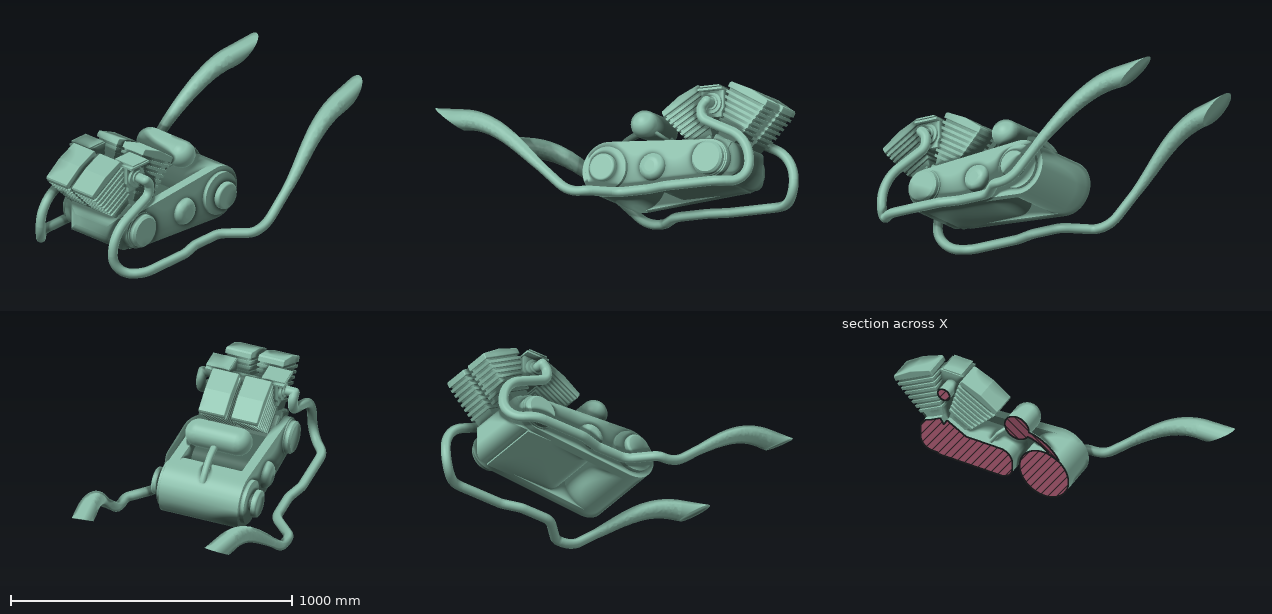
import cadquery as cq
import math


DRUM_RADIUS = 100
CASE_HALF_WIDTH = 150
PLATE_THICKNESS = 35.0
PLATE_END_RADIUS = 70.0
CRANK_Y = -406.0
FLANGE_DIAMETER = 160.0
FLANGE_THICKNESS = 15.0
HUB_NECK_DIAMETER = 60.0
HUB_NECK_LENGTH = 15.0
KNOB_DIAMETER = 100
KNOB_THICKNESS = 20.0
KNOB_FILLET = 9.0
DOME_DIAMETER = 100
DOME_HEIGHT = 27.0
DOME_FLAT_DIAMETER = 40.0
DOME_Y = -180.0
DOME_Z = -9.0
COVER_RIM_DIAMETER = 130.0
COVER_RIM_THICKNESS = 5.0
COVER_DIAMETER = 120.0
COVER_HEIGHT = 27.0
COVER_CHAMFER = 7.0

CRANKCASE_HALF_WIDTH = 125
CRANKCASE_HALF_HEIGHT = 70.0
CRANKCASE_FRONT_Y = -501.0
CRANKCASE_BACK_Y = -306.0
CASE_FILLET = 50
GEARBOX_FRONT_Y = -432.0
GEARBOX_BACK_Y = -127.0
GEARBOX_TOP_Z = 49.0
GEARBOX_BOTTOM_Z = -76.0
PEDESTAL_HEIGHT = 87
PEDESTAL_FRONT_DEPTH = 35.0
PEDESTAL_REAR_DEPTH = 57.0
PEDESTAL_CHAMFER = 5.0

CYLINDER_TILT = 30
CYLINDER_X = 62
FIN_WIDTH = 100
FIN_COUNT = 7
FIN_THICKNESS = 10.0
FIN_PITCH = 20.0
FIN_OVERHANG = 7.0
HEAD_BASE = 255.0
HEAD_WALL = 22.0
HEAD_RIDGE = 9.0
HEAD_HALF_DEPTH = 86.0
HEAD_EAVE_SETBACK = 4.0
HEAD_EAVE_DROP = 6.0
HEAD_FILLET = 4.0
FIN_STACK_TOP = HEAD_BASE - (FIN_PITCH - FIN_THICKNESS)
FIN_STACK_BASE = FIN_STACK_TOP - (FIN_COUNT - 1) * FIN_PITCH - FIN_THICKNESS
FIN_TOP_HALF_DEPTH = 84.0
FIN_TAPER = 0.25

PORT_Z = 204.0
INTAKE_DIAMETER = 50
BLOCK_INNER_X = 62
BLOCK_OUTER_X = 125
BLOCK_TOP_Z = 250
BLOCK_HALF_DEPTH = 44.0
BLOCK_FOOT_HALF_DEPTH = 35.0
BLOCK_SHOULDER_Z = 187
BLOCK_FOOT_Z = 170.0
BLOCK_BOTTOM_Z = 154.0
LID_OUTER_X = 150
SLAB_HALF_DEPTH = 47.0
SLAB_THICKNESS = 7.0
LID_GAP = 4.0
LID_HALF_DEPTH = 37
LID_THICKNESS = 5.0
LID_POST_DIAMETER = 7.0
PORT_RING_DIAMETER = 75
PORT_RING_HEIGHT = 10.0
PORT_SEAT_DIAMETER = 50
PORT_SEAT_HEIGHT = 16.0

PIPE_DIAMETER = 35.0
PIPE_DROP_X = 175
PIPE_LOW_Z = -107.0
PIPE_TAIL_X = 312
MUFFLER_DIAMETER = 75
MUFFLER_START = cq.Vector(PIPE_TAIL_X, 180.0, -7.0)
MUFFLER_MIDDLE = cq.Vector(292.0, 327.0, 125)
MUFFLER_END = cq.Vector(266.0, 501.0, 207.0)
MUFFLER_END_HEADING = cq.Vector(-0.14, 1, 0.16)
MUFFLER_SECTIONS = 6
TIP_SHORT_SIDE = 10.0
TIP_LONG_SIDE = 140.0

PIPE_CORNERS = [
    ((PIPE_DROP_X, CRANK_Y, PORT_Z), 0),
    ((PIPE_DROP_X, -386.0, 184.0), 31.0),
    ((PIPE_DROP_X, -386.0, 141.0), 37),
    ((PIPE_DROP_X, -577.0, 49.0), 125),
    ((PIPE_DROP_X, -577.0, PIPE_LOW_Z), 75),
    ((250, -490.0, PIPE_LOW_Z), 87),
    ((250, -281.0, PIPE_LOW_Z), 75),
    ((229.0, -206.0, PIPE_LOW_Z), 75),
    ((229.0, -80.0, PIPE_LOW_Z), 62),
    ((PIPE_TAIL_X, 4.0, PIPE_LOW_Z), 40.0),
    ((PIPE_TAIL_X, 72.0, PIPE_LOW_Z), 125),
    (MUFFLER_START.toTuple(), 0),
]

TANK_DIAMETER = 100
TANK_HALF_STRAIGHT = 75
TANK_Y = -110.0
TANK_Z = 167.0
FEED_DIAMETER = 25
HOSE_DIAMETER = 15.0
FEED_ARC = [(50, 77.0), (-2.0, 132.0), (-87, 156.0)]
HOSE_CORNERS = [
    ((69.0, -137, 144.0), 0),
    ((17.0, -192.0, 100), 19.0),
    ((17.0, -227.0, GEARBOX_TOP_Z - 5.0), 0),
]


def mirrored_pair(body):
    """The body together with its mirror image across X = 0."""
    return body.union(body.mirror("YZ"))


def disc(diameter, x_start, x_end, y, z):
    """A round disc along X."""
    plane = cq.Plane(origin=(x_start, y, z), xDir=(0, 1, 0), normal=(1, 0, 0))
    return cq.Workplane(plane).circle(diameter / 2).extrude(x_end - x_start)


def block(x_range, y_range, z_range):
    """A rectangular block between the given limits."""
    sizes = [high - low for low, high in (x_range, y_range, z_range)]
    corner = (x_range[0], y_range[0], z_range[0])
    return cq.Workplane("XY").box(*sizes, centered=False).translate(corner)


def rounded_path(corners):
    """A wire through the corner points, each inner corner replaced by a tangent arc."""
    points = [cq.Vector(*point) for point, _ in corners]
    edges = []
    here = points[0]
    for before, corner, after, (_, radius) in zip(points, points[1:], points[2:], corners[1:]):
        inward = (before - corner).normalized()
        outward = (after - corner).normalized()
        half_angle = inward.getAngle(outward) / 2
        tangent_length = radius / math.tan(half_angle)
        bisector = (inward + outward).normalized()
        arc_start = corner + inward * tangent_length
        arc_middle = corner + bisector * (radius / math.sin(half_angle) - radius)
        arc_end = corner + outward * tangent_length
        edges.append(cq.Edge.makeLine(here, arc_start))
        edges.append(cq.Edge.makeThreePointArc(arc_start, arc_middle, arc_end))
        here = arc_end
    edges.append(cq.Edge.makeLine(here, points[-1]))
    return cq.Wire.assembleEdges(edges)


def tube(path, diameter):
    """A round bar along a smooth path."""
    start = path.startPoint()
    plane = cq.Plane(origin=start, normal=path.tangentAt(0))
    return cq.Workplane(plane).circle(diameter / 2).sweep(cq.Workplane(obj=path))


def side_plate():
    """A plate tapering from the drum to the crank, bounded by the two outer tangents."""
    sine = (DRUM_RADIUS - PLATE_END_RADIUS) / -CRANK_Y
    cosine = math.sqrt(1 - sine**2)
    drum_tangent = (-DRUM_RADIUS * sine, DRUM_RADIUS * cosine)
    end_tangent = (CRANK_Y - PLATE_END_RADIUS * sine, PLATE_END_RADIUS * cosine)
    return (
        cq.Workplane("YZ", origin=(CASE_HALF_WIDTH - PLATE_THICKNESS, 0, 0))
        .moveTo(*drum_tangent)
        .lineTo(*end_tangent)
        .threePointArc((CRANK_Y - PLATE_END_RADIUS, 0), (end_tangent[0], -end_tangent[1]))
        .lineTo(drum_tangent[0], -drum_tangent[1])
        .threePointArc((DRUM_RADIUS, 0), drum_tangent)
        .close()
        .extrude(PLATE_THICKNESS)
    )


def hub():
    """Flange, neck and rounded knob on the drum axis."""
    flange_x = CASE_HALF_WIDTH + FLANGE_THICKNESS
    neck_x = flange_x + HUB_NECK_LENGTH
    flange = disc(FLANGE_DIAMETER, CASE_HALF_WIDTH, flange_x, 0, 0)
    neck = disc(HUB_NECK_DIAMETER, flange_x, neck_x, 0, 0)
    knob = disc(KNOB_DIAMETER, neck_x, neck_x + KNOB_THICKNESS, 0, 0)
    return flange.union(neck).union(knob.faces(">X").edges().fillet(KNOB_FILLET))


def dome():
    """A domed cover with a flat crown on the outside of the plate."""
    radius = DOME_DIAMETER / 2
    flat = DOME_FLAT_DIAMETER / 2
    bulge = math.sqrt(0.5)
    shoulder = (flat + (radius - flat) * bulge, DOME_HEIGHT * bulge)
    plane = cq.Plane(origin=(CASE_HALF_WIDTH, DOME_Y, DOME_Z), xDir=(0, 1, 0), normal=(0, 0, -1))
    return (
        cq.Workplane(plane)
        .lineTo(radius, 0)
        .threePointArc(shoulder, (flat, DOME_HEIGHT))
        .lineTo(0, DOME_HEIGHT)
        .close()
        .revolve(360, (0, 0), (0, 1))
    )


def crank_cover():
    """A rimmed round cover on the crank axis."""
    x = CASE_HALF_WIDTH
    rim = disc(COVER_RIM_DIAMETER, x, x + COVER_RIM_THICKNESS, CRANK_Y, 0)
    cover = disc(COVER_DIAMETER, x, x + COVER_HEIGHT, CRANK_Y, 0)
    return rim.union(cover.faces(">X").edges().chamfer(COVER_CHAMFER))


def drive_case():
    drum = disc(2 * DRUM_RADIUS, -CASE_HALF_WIDTH, CASE_HALF_WIDTH, 0, 0)
    outside = side_plate().union(hub()).union(dome()).union(crank_cover())
    return drum.union(mirrored_pair(outside))


def crankcase():
    """Front crankcase with a pillowed front face, and the lower gearbox behind it."""
    x_range = (-CRANKCASE_HALF_WIDTH, CRANKCASE_HALF_WIDTH)
    front = block(
        x_range,
        (CRANKCASE_FRONT_Y, CRANKCASE_BACK_Y - CASE_FILLET),
        (-CRANKCASE_HALF_HEIGHT, CRANKCASE_HALF_HEIGHT),
    )
    front = front.faces("<Y").edges().fillet(CASE_FILLET)
    gearbox = block(
        x_range, (GEARBOX_FRONT_Y, GEARBOX_BACK_Y), (GEARBOX_BOTTOM_Z, GEARBOX_TOP_Z)
    )
    return front.union(gearbox.faces(">Y").edges("|X").fillet(CASE_FILLET))


def pedestal(y_range):
    """An upright seat for one pair of cylinders, its long top edges chamfered at both sides."""
    x_range = (-CRANKCASE_HALF_WIDTH, CRANKCASE_HALF_WIDTH)
    seat = block(x_range, y_range, (0, PEDESTAL_HEIGHT))
    return seat.faces("<X or >X").edges(">Z").chamfer(PEDESTAL_CHAMFER)


def fin_half_depth(height):
    return FIN_TOP_HALF_DEPTH - FIN_TAPER * (FIN_STACK_TOP - height)


def tapered_slab(width, base, top, inset):
    """A slab whose depth follows the taper of the fin stack, reduced by an inset."""
    base_half = fin_half_depth(base) - inset
    top_half = fin_half_depth(top) - inset
    outline = [(-base_half, base), (base_half, base), (top_half, top), (-top_half, top)]
    return cq.Workplane("YZ").polyline(outline).close().extrude(width / 2, both=True)


def cylinder_head():
    """A wide cap with a low gabled top."""
    eave = HEAD_BASE + HEAD_WALL
    eave_half_depth = HEAD_HALF_DEPTH - HEAD_EAVE_SETBACK
    wall_top = eave - HEAD_EAVE_DROP
    right_side = [
        (HEAD_HALF_DEPTH, HEAD_BASE),
        (HEAD_HALF_DEPTH, wall_top),
        (eave_half_depth, eave),
    ]
    left_side = [(-y, z) for y, z in reversed(right_side)]
    ridge = (0, eave + HEAD_RIDGE)
    return (
        cq.Workplane("YZ")
        .polyline([*right_side, ridge, *left_side])
        .close()
        .extrude(FIN_WIDTH / 2, both=True)
        .faces("<X or >X")
        .edges()
        .fillet(HEAD_FILLET)
    )


def cylinder():
    """One upright cylinder: tapered barrel, cooling fins and head."""
    body = tapered_slab(FIN_WIDTH - 2 * FIN_OVERHANG, PEDESTAL_HEIGHT, HEAD_BASE, FIN_OVERHANG)
    for number in range(FIN_COUNT):
        base = FIN_STACK_BASE + number * FIN_PITCH
        body = body.union(tapered_slab(FIN_WIDTH, base, base + FIN_THICKNESS, 0))
    return body.union(cylinder_head())


def cylinder_bank(tilt, pedestal_range):
    """A pedestal with its two cylinders, tilted about the crank axis."""
    cylinders = mirrored_pair(cylinder().translate((CYLINDER_X, 0, 0)))
    bank = pedestal(pedestal_range).union(cylinders)
    return bank.rotate((0, 0, 0), (1, 0, 0), tilt).translate((0, CRANK_Y, 0))


def port_block():
    """The block on one side of the V, with its foot, lid and round exhaust port."""
    outline = [
        (-BLOCK_HALF_DEPTH, BLOCK_TOP_Z),
        (-BLOCK_HALF_DEPTH, BLOCK_SHOULDER_Z),
        (-BLOCK_FOOT_HALF_DEPTH, BLOCK_FOOT_Z),
        (-BLOCK_FOOT_HALF_DEPTH, BLOCK_BOTTOM_Z),
    ]
    outline += [(-y, z) for y, z in reversed(outline)]
    body = (
        cq.Workplane("YZ", origin=(BLOCK_INNER_X, CRANK_Y, 0))
        .polyline(outline)
        .close()
        .extrude(BLOCK_OUTER_X - BLOCK_INNER_X)
    )
    ring = disc(
        PORT_RING_DIAMETER, BLOCK_OUTER_X, BLOCK_OUTER_X + PORT_RING_HEIGHT, CRANK_Y, PORT_Z
    )
    seat = disc(
        PORT_SEAT_DIAMETER, BLOCK_OUTER_X, BLOCK_OUTER_X + PORT_SEAT_HEIGHT, CRANK_Y, PORT_Z
    )
    return body.union(ring).union(seat).union(port_lid())


def port_lid():
    """A slab on the block and a thin plate held just above it by a post."""
    slab_top = BLOCK_TOP_Z + SLAB_THICKNESS
    lid_base = slab_top + LID_GAP
    x_range = (BLOCK_INNER_X, LID_OUTER_X)
    slab = block(
        x_range, (CRANK_Y - SLAB_HALF_DEPTH, CRANK_Y + SLAB_HALF_DEPTH), (BLOCK_TOP_Z, slab_top)
    )
    lid = block(
        x_range,
        (CRANK_Y - LID_HALF_DEPTH, CRANK_Y + LID_HALF_DEPTH),
        (lid_base, lid_base + LID_THICKNESS),
    )
    post = (
        cq.Workplane("XY", origin=((BLOCK_INNER_X + LID_OUTER_X) / 2, CRANK_Y, BLOCK_TOP_Z))
        .circle(LID_POST_DIAMETER / 2)
        .extrude(lid_base - BLOCK_TOP_Z + LID_THICKNESS / 2)
    )
    return slab.union(post).union(lid)


def intake():
    return disc(INTAKE_DIAMETER, -BLOCK_INNER_X, BLOCK_INNER_X, CRANK_Y, PORT_Z)


def muffler():
    """A horn growing along a curved centreline, ending in an obliquely cut tip."""
    last_leg = MUFFLER_START - cq.Vector(*PIPE_CORNERS[-2][0])
    centreline = cq.Edge.makeSpline(
        [MUFFLER_START, MUFFLER_MIDDLE, MUFFLER_END],
        tangents=[last_leg.normalized(), MUFFLER_END_HEADING.normalized()],
    )
    sections = []
    for number in range(MUFFLER_SECTIONS):
        share = number / (MUFFLER_SECTIONS - 1)
        diameter = PIPE_DIAMETER + share * (MUFFLER_DIAMETER - PIPE_DIAMETER)
        centre = centreline.positionAt(share)
        sections.append(cq.Wire.makeCircle(diameter / 2, centre, centreline.tangentAt(share)))
    horn = cq.Workplane(obj=cq.Solid.makeLoft(sections))
    return horn.union(muffler_tip())


def muffler_tip():
    radius = MUFFLER_DIAMETER / 2
    bar = (
        cq.Workplane(cq.Plane(origin=MUFFLER_END, normal=MUFFLER_END_HEADING))
        .circle(radius)
        .extrude(TIP_LONG_SIDE)
    )
    sideways = MUFFLER_END_HEADING.cross(cq.Vector(0, 0, 1))
    outline = [(0, -radius), (TIP_SHORT_SIDE, -radius), (TIP_LONG_SIDE, radius), (0, radius)]
    side_plane = cq.Plane(origin=MUFFLER_END, xDir=MUFFLER_END_HEADING, normal=sideways)
    oblique = cq.Workplane(side_plane).polyline(outline).close().extrude(radius, both=True)
    return bar.intersect(oblique)


def exhaust():
    """Port stub, ball elbow, bent pipe and muffler on one side."""
    stub = disc(PIPE_DIAMETER, BLOCK_OUTER_X, PIPE_DROP_X, CRANK_Y, PORT_Z)
    elbow = cq.Workplane("XY").sphere(PIPE_DIAMETER / 2).translate(PIPE_CORNERS[0][0])
    pipe = tube(rounded_path(PIPE_CORNERS), PIPE_DIAMETER)
    return stub.union(elbow).union(pipe).union(muffler())


def engine_body():
    body = drive_case().union(crankcase()).union(intake())
    rear_range = (-PEDESTAL_FRONT_DEPTH, PEDESTAL_REAR_DEPTH)
    front_range = (-PEDESTAL_FRONT_DEPTH, PEDESTAL_FRONT_DEPTH)
    body = body.union(cylinder_bank(-CYLINDER_TILT, rear_range))
    body = body.union(cylinder_bank(CYLINDER_TILT, front_range))
    return body.union(mirrored_pair(port_block().union(exhaust())))


def oil_tank(surroundings):
    """Round-ended tank with a feed line to the drum and two hoses to the gearbox."""
    shell = disc(TANK_DIAMETER, -TANK_HALF_STRAIGHT, TANK_HALF_STRAIGHT, TANK_Y, TANK_Z)
    end = cq.Workplane("XY").sphere(TANK_DIAMETER / 2)
    shell = shell.union(mirrored_pair(end.translate((TANK_HALF_STRAIGHT, TANK_Y, TANK_Z))))
    feed_points = [cq.Vector(0, y, z) for y, z in FEED_ARC]
    feed_path = cq.Wire.assembleEdges([cq.Edge.makeThreePointArc(*feed_points)])
    feed = tube(feed_path, FEED_DIAMETER)
    hose = tube(rounded_path(HOSE_CORNERS), HOSE_DIAMETER)
    return shell.union(feed).union(mirrored_pair(hose)).cut(surroundings)


engine = engine_body()
tank = oil_tank(engine)
result = cq.Compound.makeCompound([engine.solids().val(), tank.solids().val()])